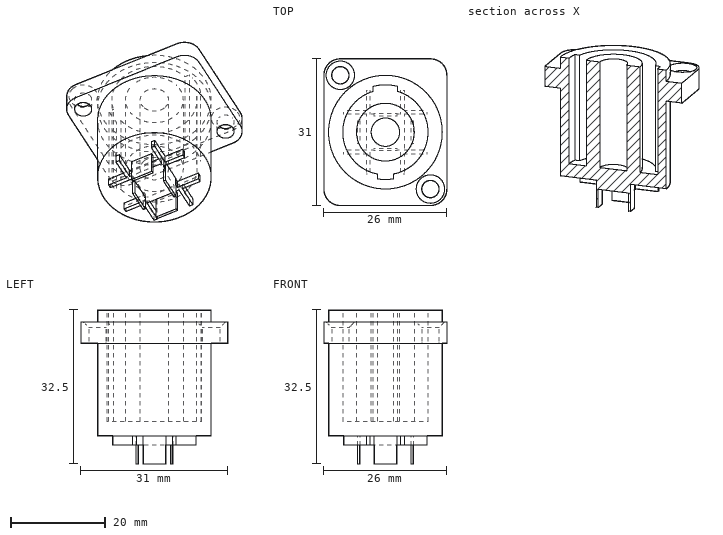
import cadquery as cq


FLANGE_X = 26.0
FLANGE_Y = 31.0
FLANGE_THICKNESS = 4.5
FLANGE_CORNER_RADIUS = 3.5
MOUNT_HOLE_X = 9.5
MOUNT_HOLE_Y = 12.0
MOUNT_HOLE_DIAMETER = 3.6
COUNTERSINK_DIAMETER = 6.0
COUNTERSINK_ANGLE = 90.0

BODY_DIAMETER = 24.0
REAR_BODY_LENGTH = 19.5
FRONT_RIM_HEIGHT = 2.5
FLANGE_TOP = REAR_BODY_LENGTH + FLANGE_THICKNESS
BODY_TOP = FLANGE_TOP + FRONT_RIM_HEIGHT

SOCKET_DIAMETER = 18.0
POST_DIAMETER = 12.2
POST_BORE_DIAMETER = 6.0
SOCKET_FLOOR = (BODY_DIAMETER - SOCKET_DIAMETER) / 2
SOCKET_DEPTH = BODY_TOP - SOCKET_FLOOR
KEYWAY_DIAMETER = 20.0
WIDE_KEYWAY_WIDTH = 5.2
NARROW_KEYWAY_WIDTH = 3.4

INSULATOR_HEIGHT = 2.0
INSULATOR_WIDTH = 17.6
BARRIER_THICKNESS = 0.8
BARRIER_INNER_X = 3.2
BARRIER_INNER_Y = 3.8
BARRIER_END = INSULATOR_WIDTH / 2

TERMINAL_WIDTH = 4.8
TERMINAL_THICKNESS = 0.5
TERMINAL_LENGTH = 6.0
SIDE_TERMINAL_X = 5.65
END_TERMINAL_Y = 3.65

SIDES = (-1, 1)


def hanging_box(x_size, y_size, height, center=(0, 0)):
    """Box hanging below the rear face of the body."""
    return cq.Workplane("XY").center(*center).rect(x_size, y_size).extrude(-height)


def make_body():
    return cq.Workplane("XY").circle(BODY_DIAMETER / 2).extrude(BODY_TOP)


def make_flange():
    plate = (
        cq.Workplane("XY", origin=(0, 0, REAR_BODY_LENGTH))
        .rect(FLANGE_X, FLANGE_Y)
        .extrude(FLANGE_THICKNESS)
        .edges("|Z")
        .fillet(FLANGE_CORNER_RADIUS)
    )
    return (
        plate.faces(">Z")
        .workplane(origin=(0, 0, FLANGE_TOP))
        .pushPoints([(-MOUNT_HOLE_X, MOUNT_HOLE_Y), (MOUNT_HOLE_X, -MOUNT_HOLE_Y)])
        .cskHole(MOUNT_HOLE_DIAMETER, COUNTERSINK_DIAMETER, COUNTERSINK_ANGLE)
    )


def socket_cylinder(diameter):
    return cq.Workplane("XY", origin=(0, 0, SOCKET_FLOOR)).circle(diameter / 2).extrude(SOCKET_DEPTH)


def make_keyway(width, side):
    """Slot from the socket axis toward +Y or -Y with a round outer wall."""
    reach = KEYWAY_DIAMETER / 2
    slot = (
        cq.Workplane("XY", origin=(0, side * reach / 2, SOCKET_FLOOR))
        .rect(width, reach)
        .extrude(SOCKET_DEPTH)
    )
    return slot.intersect(socket_cylinder(KEYWAY_DIAMETER))


def make_socket_cavity():
    keyed_opening = (
        socket_cylinder(SOCKET_DIAMETER)
        .union(make_keyway(WIDE_KEYWAY_WIDTH, 1))
        .union(make_keyway(NARROW_KEYWAY_WIDTH, -1))
    )
    ring_cavity = keyed_opening.cut(socket_cylinder(POST_DIAMETER))
    return ring_cavity.union(socket_cylinder(POST_BORE_DIAMETER))


def make_barrier(x_side, y_side):
    """L-shaped wall with its corner toward the axis and its legs running outward."""
    leg_x = BARRIER_END - BARRIER_INNER_X
    leg_y = BARRIER_END - BARRIER_INNER_Y
    middle_x = BARRIER_INNER_X + leg_x / 2
    middle_y = BARRIER_INNER_Y + leg_y / 2
    wall_x = BARRIER_INNER_X + BARRIER_THICKNESS / 2
    wall_y = BARRIER_INNER_Y + BARRIER_THICKNESS / 2
    along_x = hanging_box(leg_x, BARRIER_THICKNESS, INSULATOR_HEIGHT, (x_side * middle_x, y_side * wall_y))
    along_y = hanging_box(BARRIER_THICKNESS, leg_y, INSULATOR_HEIGHT, (x_side * wall_x, y_side * middle_y))
    return along_x.union(along_y)


def make_insulator():
    core_x = 2 * (BARRIER_INNER_X + BARRIER_THICKNESS)
    core_y = 2 * BARRIER_INNER_Y
    insulator = hanging_box(core_x, core_y, INSULATOR_HEIGHT)
    for x_side in SIDES:
        for y_side in SIDES:
            insulator = insulator.union(make_barrier(x_side, y_side))
    return insulator


def add_terminals(part):
    for side in SIDES:
        side_terminal = hanging_box(
            TERMINAL_THICKNESS, TERMINAL_WIDTH, TERMINAL_LENGTH, (side * SIDE_TERMINAL_X, 0)
        )
        end_terminal = hanging_box(
            TERMINAL_WIDTH, TERMINAL_THICKNESS, TERMINAL_LENGTH, (0, side * END_TERMINAL_Y)
        )
        part = part.union(side_terminal).union(end_terminal)
    return part


housing = make_body().union(make_flange()).cut(make_socket_cavity())
result = add_terminals(housing.union(make_insulator()))